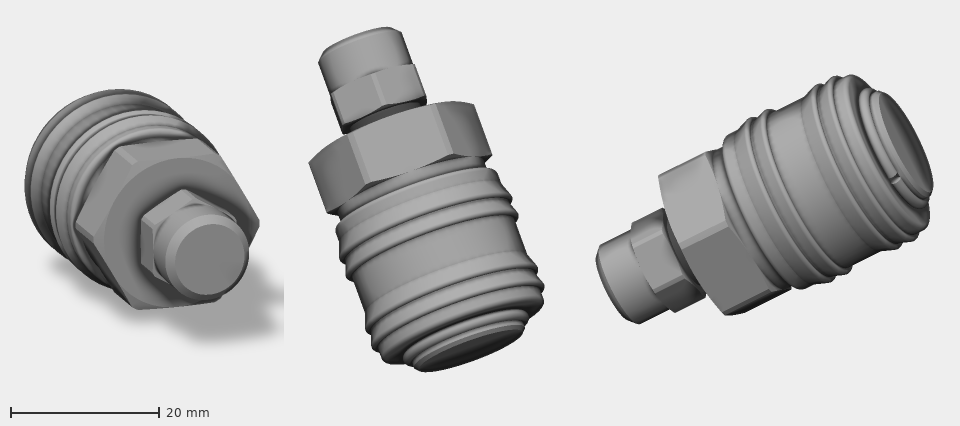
import cadquery as cq
import math

overall_length = 45.35

nose_diameter = 15.95
nose_chamfer = 0.5

ring_outer_diameter = 18.0
wire_diameter = 1.5
ring_gap = 1.0
wire_circle_radius = (ring_outer_diameter - wire_diameter) / 2

sleeve_start = 2.65
sleeve_end = 22.15
sleeve_diameter = 23.3
sleeve_fillet = 0.65

ring_x = sleeve_start - wire_diameter / 2

rib_diameter = 24.8
rib_crest_radius = 0.45
rib_back_angle = math.radians(20)
rib_pair_starts = [4.65, 15.0]
rib_pitch = 2.5
ribs_per_pair = 2
rib_valley_diameter = 23.55

neck_diameter = 21.0
large_hex_start = 24.02
large_hex_end = 32.15
large_hex_flats = 21.0
large_hex_corners = 23.7
large_hex_bevel = 0.4

stem_diameter = 10.0
small_hex_start = 34.25
small_hex_end = 39.35
small_hex_flats = 12.0
small_hex_corners = 13.5
small_hex_bevel = 0.23
thread_diameter = 12.0
thread_chamfer = 1.05


def cylinder(start, end, diameter):
    """Solid cylinder along X between two positions."""
    return cq.Workplane("YZ", origin=(start, 0, 0)).circle(diameter / 2).extrude(end - start)


def rib(start):
    """Grip rib whose rounded crest runs tangentially into its sloping back."""
    base_radius = sleeve_diameter / 2
    crest_x = start + rib_crest_radius
    centre_radius = rib_diameter / 2 - rib_crest_radius
    tangent_x = crest_x + rib_crest_radius * math.sin(rib_back_angle)
    tangent_radius = centre_radius + rib_crest_radius * math.cos(rib_back_angle)
    mid_angle = math.radians(45) + rib_back_angle / 2
    arc_middle = (
        crest_x - rib_crest_radius * math.cos(mid_angle),
        centre_radius + rib_crest_radius * math.sin(mid_angle),
    )
    back_end = tangent_x + (tangent_radius - base_radius) / math.tan(rib_back_angle)
    profile = (
        cq.Workplane("XY")
        .moveTo(start, 0)
        .lineTo(start, centre_radius)
        .threePointArc(arc_middle, (tangent_x, tangent_radius))
        .lineTo(back_end, base_radius)
        .lineTo(back_end, 0)
        .close()
    )
    return profile.revolve(360, (0, 0, 0), (1, 0, 0))


def sleeve():
    """Rounded sleeve carrying the grip ribs and the shallow valley within each pair."""
    body = cylinder(sleeve_start, sleeve_end, sleeve_diameter).edges().fillet(sleeve_fillet)
    for pair_start in rib_pair_starts:
        for index in range(ribs_per_pair):
            body = body.union(rib(pair_start + index * rib_pitch))
        body = body.union(cylinder(pair_start, pair_start + rib_pitch, rib_valley_diameter))
    return body


def hexagon(start, end, flats, corners, bevel, turn):
    """Hexagon along X with its corners turned round and both ends bevelled down to the flats."""
    prism = (
        cq.Workplane("YZ", origin=(start, 0, 0))
        .transformed(rotate=(0, 0, turn))
        .polygon(6, flats / math.cos(math.radians(30)))
        .extrude(end - start)
    )
    envelope = (
        cq.Workplane("XY")
        .moveTo(start, 0)
        .lineTo(start, flats / 2)
        .lineTo(start + bevel, corners / 2)
        .lineTo(end - bevel, corners / 2)
        .lineTo(end, flats / 2)
        .lineTo(end, 0)
        .close()
        .revolve(360, (0, 0, 0), (1, 0, 0))
    )
    return prism.intersect(envelope)


def wire_loop():
    """Full torus of the ring wire, also the shape of its groove in the nose."""
    wire = cq.Workplane("XZ").center(ring_x, -wire_circle_radius).circle(wire_diameter / 2)
    return wire.revolve(360, (0, wire_circle_radius, 0), (1, wire_circle_radius, 0))


def make_coupling():
    """Nose, sleeve, neck, hexagons and threaded end as one solid."""
    nose = cylinder(0, sleeve_start, nose_diameter).faces("<X").chamfer(nose_chamfer)
    neck = cylinder(sleeve_end, large_hex_start, neck_diameter)
    large_hex = hexagon(
        large_hex_start, large_hex_end, large_hex_flats, large_hex_corners, large_hex_bevel, 0
    )
    stem = cylinder(large_hex_end, small_hex_start, stem_diameter)
    small_hex = hexagon(
        small_hex_start, small_hex_end, small_hex_flats, small_hex_corners, small_hex_bevel, 90
    )
    thread = cylinder(small_hex_end, overall_length, thread_diameter)
    thread = thread.faces(">X").chamfer(thread_chamfer)
    body = nose.cut(wire_loop())
    for section in (sleeve(), neck, large_hex, stem, small_hex, thread):
        body = body.union(section)
    return body.solids()


def make_retaining_ring():
    """Wire ring with a parallel-sided gap at the bottom."""
    gap = cq.Workplane("XY").box(wire_diameter, ring_gap, ring_outer_diameter)
    gap = gap.translate((ring_x, 0, -ring_outer_diameter / 2))
    return wire_loop().cut(gap).solids()


coupling = make_coupling()
retaining_ring = make_retaining_ring()

result = cq.Compound.makeCompound([coupling.val(), retaining_ring.val()])